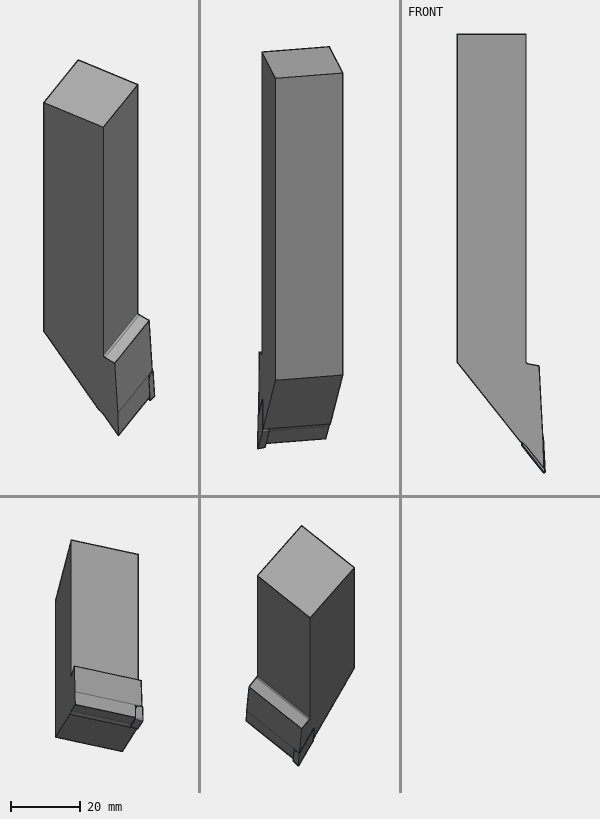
import cadquery as cq
import math

length = 126.4
shank_width = 19.8
shank_depth = 19.8

slope_start_z = 31.8
shoulder_x = 23.6
shoulder_z = 30.8
shoulder_inner_z = 31.6
shoulder_fillet = 0.6
flank_angle = 3.0
slope_angle = 38.5
flank_end_z = 10.7
relief_top_z = 9.0
relief_radius = 5.4
relief_turn = 26.0
head_bottom_z = 1.5
head_bottom_x = 24.9

insert_side = 11.1
insert_thickness = 2.1
insert_rise = 0.1
nose_radius = 0.4
clearance_angle = 7.0
tip_x = 25.4


def direction(angle):
    """Unit XZ direction pointing up and tilted left from vertical by the angle in degrees."""
    return -math.sin(math.radians(angle)), math.cos(math.radians(angle))


def moved(point, angle, distance):
    """Point shifted in the XZ plane along a tilted direction."""
    dx, dz = direction(angle)
    return point[0] + distance * dx, point[1] + distance * dz


def plane_at(y):
    """XZ workplane at the given Y, with extrusions running toward -Y."""
    return cq.Workplane("XZ", origin=(0, y, 0))


def make_insert():
    """Rhombic insert, slightly proud of the back face, with clearance on all its sides."""
    point_angle = slope_angle - flank_angle
    axis_angle = (slope_angle + flank_angle) / 2
    nose_center = (tip_x - nose_radius, nose_radius)
    sharp_tip = moved(nose_center, axis_angle, -nose_radius / math.sin(math.radians(point_angle / 2)))
    right_corner = moved(sharp_tip, flank_angle, insert_side)
    left_corner = moved(sharp_tip, slope_angle, insert_side)
    far_corner = moved(right_corner, slope_angle, insert_side)
    outline = (
        cq.Sketch()
        .polygon([sharp_tip, right_corner, far_corner, left_corner, sharp_tip])
        .vertices()
        .fillet(nose_radius)
    )
    top = plane_at(shank_depth + insert_rise)
    return top.placeSketch(outline).extrude(insert_thickness, taper=clearance_angle)


def make_holder(insert):
    """Shank and slanted head in one piece, with a matching seat for the insert."""
    relief_drop = slope_start_z - relief_top_z
    relief_start = (relief_drop * math.tan(math.radians(slope_angle)), relief_top_z)

    arc_center = moved(relief_start, slope_angle + relief_turn + 90, relief_radius)
    arc_middle = moved(arc_center, slope_angle + relief_turn / 2 + 90, -relief_radius)
    arc_end = moved(arc_center, slope_angle + 90, -relief_radius)

    flank_end_x = shoulder_x + (shoulder_z - flank_end_z) * math.tan(math.radians(flank_angle))
    underside_end_x = arc_end[0] + (arc_end[1] - head_bottom_z) * math.tan(math.radians(slope_angle))
    body = (
        plane_at(shank_depth)
        .moveTo(0, length)
        .lineTo(0, slope_start_z)
        .lineTo(*relief_start)
        .threePointArc(arc_middle, arc_end)
        .lineTo(underside_end_x, head_bottom_z)
        .lineTo(head_bottom_x, head_bottom_z)
        .lineTo(flank_end_x, flank_end_z)
        .lineTo(shoulder_x, shoulder_z)
        .lineTo(shank_width, shoulder_inner_z)
        .lineTo(shank_width, length)
        .close()
        .extrude(shank_depth)
    )
    inner_corner = cq.selectors.NearestToPointSelector((shank_width, shank_depth / 2, shoulder_inner_z))
    body = body.edges(inner_corner).fillet(shoulder_fillet)
    return body.cut(insert)


insert = make_insert()
holder = make_holder(insert)

result = cq.Compound.makeCompound([holder.val(), insert.val()])